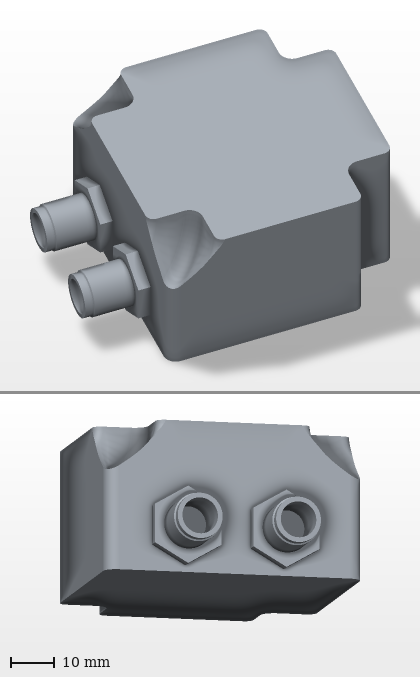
import cadquery as cq
import math

side = 60.0
height = 35.0
half_side = side / 2
front_edge_radius = 3.0

notch_size = 12.0
notch_inner_radius = 3.25
notch_outer_radius = 2.0
scoop_depth = 11.75

connector_spacing = 23.0
connector_height = 10.5
hex_across_flats = 15.5
hex_thickness = 3.0
barrel_diameter = 11.2
tip_diameter = 10.5
connector_length = 15.0
tip_length = 2.0
tip_taper_length = 0.25
bore_diameter = 8.3
bore_depth = 12.0

diagonal = math.sqrt(0.5)


def make_block():
    """Square block with its two front vertical edges rounded."""
    block = cq.Workplane("XY").box(side, side, height, centered=(True, True, False))
    return block.edges("|Z and <Y").fillet(front_edge_radius)


def cut_rear_notches(body):
    """Remove a square notch from each rear corner and round its three vertical edges."""
    notch_wall = half_side - notch_size
    for direction in (-1, 1):
        notch = (
            cq.Workplane("XY")
            .center(direction * half_side, half_side)
            .rect(2 * notch_size, 2 * notch_size)
            .extrude(height)
        )
        body = body.cut(notch)
        inner_edge = cq.selectors.NearestToPointSelector((direction * notch_wall, notch_wall, height / 2))
        body = body.edges("|Z").edges(inner_edge).fillet(notch_inner_radius)
        for x, y in ((direction * notch_wall, half_side), (direction * half_side, notch_wall)):
            outer_edge = cq.selectors.NearestToPointSelector((x, y, height / 2))
            body = body.edges("|Z").edges(outer_edge).fillet(notch_outer_radius)
    return body


def make_scoop():
    """Cutter for the front left corner.

    The rounded notch outline in the top face turns a quarter circle down about a
    horizontal axis square to the corner diagonal, then runs straight out of the corner.
    """
    nose_distance = notch_size / diagonal - notch_inner_radius * (1 / diagonal - 1)
    axis_distance = nose_distance - scoop_depth
    axis_offset = axis_distance * diagonal

    def section_point(along_x, along_y):
        """Turn distances from the corner along both sides into (across, up from the top face)."""
        across = (along_x - along_y) * diagonal
        inward = (along_x + along_y) * diagonal
        return across, axis_distance - inward

    def arc_middle(center, shift):
        """Middle of a rounding, shifted from its centre by the given amount in both directions."""
        return section_point(center[0] + shift, center[1] + shift)

    outer_end = notch_size + notch_outer_radius
    inner_start = notch_size - notch_inner_radius
    left_center = (notch_outer_radius, outer_end)
    right_center = (outer_end, notch_outer_radius)
    nose_center = (inner_start, inner_start)
    inner_shift = notch_inner_radius * diagonal
    outer_shift = -notch_outer_radius * diagonal
    left_end = section_point(0, outer_end)
    right_end = section_point(outer_end, 0)

    section_plane = cq.Plane(
        origin=(axis_offset - half_side, axis_offset - half_side, height),
        xDir=(1, -1, 0),
        normal=(-1, -1, 0),
    )
    section = (
        cq.Workplane(section_plane)
        .moveTo(left_end[0], 0)
        .lineTo(*left_end)
        .threePointArc(arc_middle(left_center, outer_shift), section_point(notch_outer_radius, notch_size))
        .lineTo(*section_point(inner_start, notch_size))
        .threePointArc(arc_middle(nose_center, inner_shift), section_point(notch_size, inner_start))
        .lineTo(*section_point(notch_size, notch_outer_radius))
        .threePointArc(arc_middle(right_center, outer_shift), right_end)
        .lineTo(right_end[0], 0)
        .close()
    )
    straight_run = section.extrude(side)
    quarter_turn = section.toPending().revolve(90, (0, 0), (1, 0))
    return straight_run.union(quarter_turn)


def cut_front_scoops(body):
    """Carve matching scoops into the left and right front corners."""
    left_scoop = make_scoop()
    return body.cut(left_scoop).cut(left_scoop.mirror("YZ"))


def make_connector(x):
    """Hexagonal collar and stepped hollow barrel, pointing out of the front face."""
    front = cq.Workplane("XZ", origin=(x, -half_side, connector_height))
    hex_across_corners = hex_across_flats / math.cos(math.radians(30))
    collar = front.transformed(rotate=(0, 0, 30)).polygon(6, hex_across_corners).extrude(hex_thickness)

    tip_start = connector_length - tip_length
    barrel = front.circle(barrel_diameter / 2).extrude(tip_start)
    barrel = barrel.faces("<Y").chamfer(tip_taper_length, (barrel_diameter - tip_diameter) / 2)
    tip = front.circle(tip_diameter / 2).extrude(connector_length)
    bore = front.workplane(offset=connector_length).circle(bore_diameter / 2).extrude(-bore_depth)
    return collar.union(barrel).union(tip).cut(bore)


result = make_block()
result = cut_rear_notches(result)
result = cut_front_scoops(result)
for connector_x in (-connector_spacing / 2, connector_spacing / 2):
    result = result.union(make_connector(connector_x))